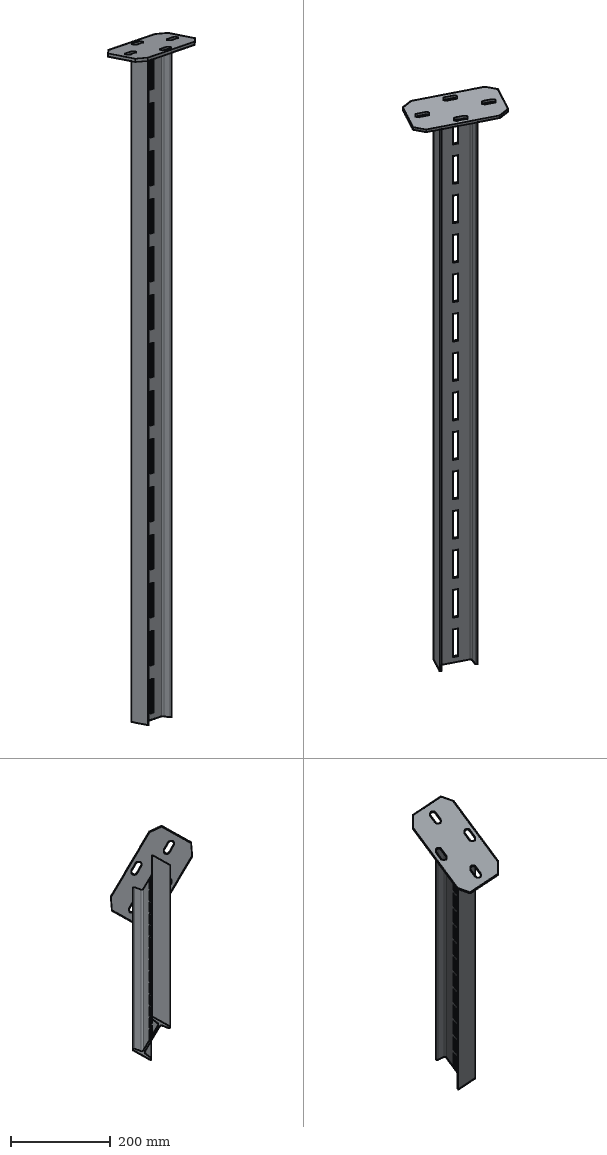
import cadquery as cq

overall_height = 1402.0

plate_width = 100.0
plate_length = 200.0
plate_thickness = 7.0
corner_cut_x = 15.0
corner_cut_y = 22.0

plate_slot_length = 30.0
plate_slot_width = 12.0
end_slot_offset = 70.0
side_slot_offset = 35.0

beam_length = overall_height - plate_thickness
beam_depth = 80.0
flange_width = 42.0
web_thickness = 3.9
flange_tip_thickness = 4.3
flange_taper = 0.14
root_radius = 4.0
tip_radius = 2.2

web_slot_count = 14
web_slot_length = 70.0
web_slot_width = 11.0
first_web_slot_height = 49.0
last_web_slot_height = 1348.0
web_slot_pitch = (last_web_slot_height - first_web_slot_height) / (web_slot_count - 1)


def make_head_plate():
    """Plate with cut corners and four slots, lying on top of the beam."""
    half_x = plate_width / 2
    half_y = plate_length / 2
    cut_x = half_x - corner_cut_x
    cut_y = half_y - corner_cut_y
    outline = [
        (half_x, cut_y),
        (cut_x, half_y),
        (-cut_x, half_y),
        (-half_x, cut_y),
        (-half_x, -cut_y),
        (-cut_x, -half_y),
        (cut_x, -half_y),
        (half_x, -cut_y),
    ]
    slot_centers = [
        (0, end_slot_offset),
        (0, -end_slot_offset),
        (side_slot_offset, 0),
        (-side_slot_offset, 0),
    ]
    plate_base = cq.Workplane("XY", origin=(0, 0, beam_length))
    plate = plate_base.polyline(outline).close().extrude(plate_thickness)
    slots = (
        plate_base.pushPoints(slot_centers)
        .slot2D(plate_slot_length, plate_slot_width, 90)
        .extrude(plate_thickness)
    )
    return plate.cut(slots)


def make_beam_blank():
    """Upright I-section with its web centered on X = 0, rounded at the web roots and flange tips."""
    half_x = flange_width / 2
    half_y = beam_depth / 2
    half_web = web_thickness / 2
    tip_y = half_y - flange_tip_thickness
    root_y = tip_y - flange_taper * (half_x - half_web)
    outline = [
        (half_x, half_y),
        (half_x, tip_y),
        (half_web, root_y),
        (half_web, -root_y),
        (half_x, -tip_y),
        (half_x, -half_y),
        (-half_x, -half_y),
        (-half_x, -tip_y),
        (-half_web, -root_y),
        (-half_web, root_y),
        (-half_x, tip_y),
        (-half_x, half_y),
    ]
    blank = cq.Workplane("XY").polyline(outline).close().extrude(beam_length)

    upright = cq.selectors.ParallelDirSelector(cq.Vector(0, 0, 1))
    inner_y = half_y - flange_tip_thickness / 2
    inner_zone = cq.selectors.BoxSelector(
        (-flange_width, -inner_y, 0), (flange_width, inner_y, beam_length)
    )
    web_zone = cq.selectors.BoxSelector(
        (-web_thickness, -half_y, 0), (web_thickness, half_y, beam_length)
    )
    blank = blank.edges(upright & (inner_zone - web_zone)).fillet(tip_radius)
    return blank.edges(upright & web_zone).fillet(root_radius)


def make_web_slots():
    """Cutters for the evenly spaced slots, passing through the web along X."""
    centers = [
        (0, first_web_slot_height + index * web_slot_pitch) for index in range(web_slot_count)
    ]
    return (
        cq.Workplane("YZ")
        .pushPoints(centers)
        .rect(web_slot_width, web_slot_length)
        .extrude(web_thickness, both=True)
    )


def make_beam():
    """I-beam with the slot row cut through its web."""
    return make_beam_blank().cut(make_web_slots())


head_plate = make_head_plate()
beam = make_beam()

result = cq.Compound.makeCompound([head_plate.solids().val(), beam.solids().val()])